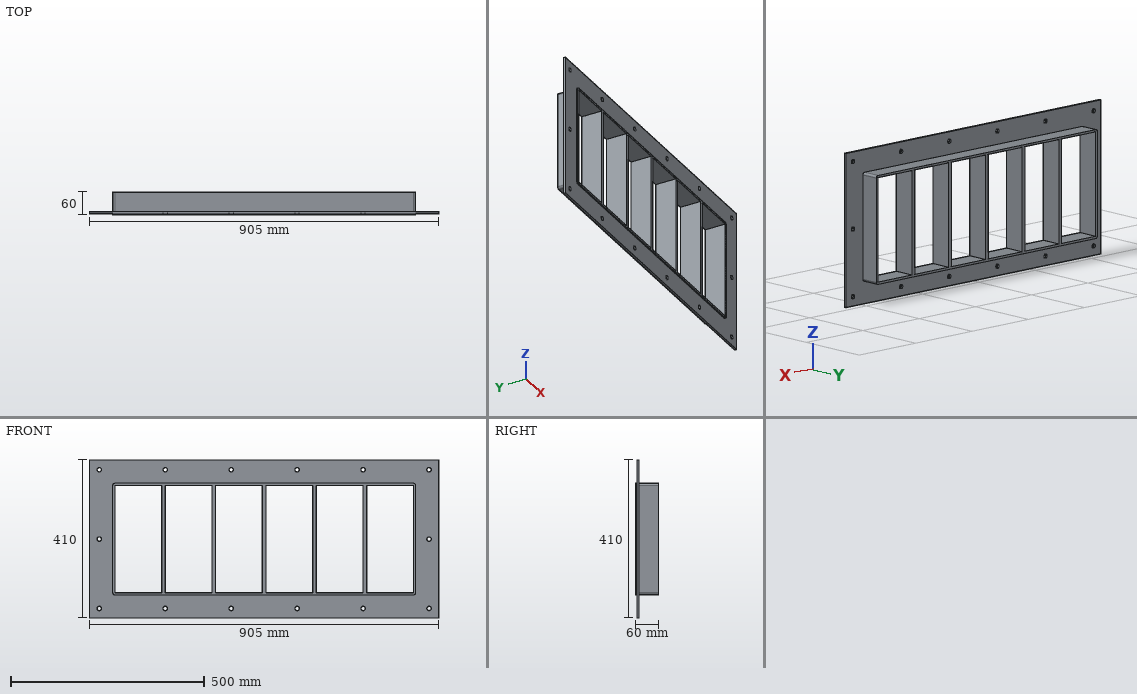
import cadquery as cq

flange_width = 905.0
flange_height = 410.0
flange_thickness = 6.0

duct_depth = 60.0
duct_wall = 6.0
duct_corner_radius = 6.0
front_projection = 3.0
duct_width = 785.0
duct_height = 290.0

opening_count = 6
divider_thickness = 10.0

hole_diameter = 11.0
hole_edge_distance = 25.0
hole_columns = 6
hole_rows = 3


def upright_block(width, depth, height, front_y=0.0):
    """Block centred in X and Z, running from front_y toward +Y."""
    return cq.Workplane("XY").box(width, depth, height).translate((0, front_y + depth / 2, 0))


def make_openings():
    """Row of equal windows cut through the full duct depth."""
    inner_width = duct_width - 2 * duct_wall
    inner_height = duct_height - 2 * duct_wall
    pitch = (inner_width + divider_thickness) / opening_count
    return (
        cq.Workplane("XZ")
        .rarray(pitch, 9, opening_count, 1)
        .rect(pitch - divider_thickness, inner_height)
        .extrude(-duct_depth)
    )


def make_mounting_holes():
    """Holes along all four borders: a grid without its interior points."""
    column_pitch = (flange_width - 2 * hole_edge_distance) / (hole_columns - 1)
    row_pitch = (flange_height - 2 * hole_edge_distance) / (hole_rows - 1)
    centres = []
    for column in range(hole_columns):
        for row in range(hole_rows):
            if column in (0, hole_columns - 1) or row in (0, hole_rows - 1):
                x = hole_edge_distance - flange_width / 2 + column * column_pitch
                z = hole_edge_distance - flange_height / 2 + row * row_pitch
                centres.append((x, z))
    return cq.Workplane("XZ").pushPoints(centres).circle(hole_diameter / 2).extrude(-duct_depth)


flange = upright_block(flange_width, flange_thickness, flange_height, front_projection)
duct = upright_block(duct_width, duct_depth, duct_height).edges("|Y").fillet(duct_corner_radius)

result = flange.union(duct).cut(make_openings()).cut(make_mounting_holes())